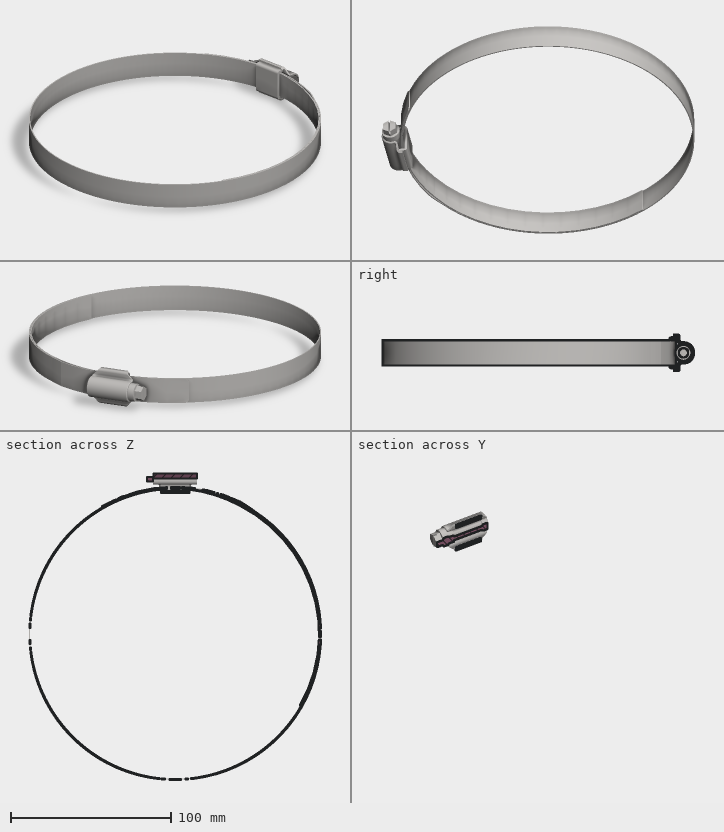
import cadquery as cq
import math


BAND_RADIUS = 91.2
BAND_THICKNESS = 0.8
LAYER_GAP = 0.05
LAYER_PITCH = BAND_THICKNESS + LAYER_GAP
BAND_WIDTH = 16.0
INNER_END_ANGLE = -30
INNER_STEP_START = 63
INNER_STEP_END = 85
OUTER_STEP_START = 360 + 57
OUTER_STEP_END = 360 + 64
OUTER_END_ANGLE = 360 + 120
TAIL_CORNER_RADIUS = 3.0

SCREW_AXIS_Y = 96.6
HEAD_ACROSS_FLATS = 8.2
HEAD_START_X = -22.5
SLOT_WIDTH = 1.2
SLOT_DEPTH = 2.1
COLLAR_START_X = -17.9
COLLAR_RADIUS = 5.6
COLLAR_FACE_RISE = 0.8
SHANK_RADIUS = 4.5
JOURNAL_RADIUS = 5.0
JOURNAL_LENGTH = 3.9
TIP_RADIUS = 3.0
TIP_END_X = 15.0

SHEET = 1.2
HOUSING_LENGTH = 27.6
HOUSING_START_X = -HOUSING_LENGTH / 2
HOUSING_END_X = HOUSING_LENGTH / 2
DOME_RADIUS = 6.6
DOME_END_CHAMFER = 0.4
WING_HALF_WIDTH = 11.5
WING_UNDERSIDE_Y = 93.1
LIP_BOTTOM_Y = 90.8
LIP_LENGTH = 17.9
WALL_BEND = 1.0
LIP_BEND = 0.5

SADDLE_LENGTH = 18.0
SADDLE_HALF_WIDTH = 9.7
SADDLE_INNER_HALF_WIDTH = 8.2
SADDLE_BOTTOM_Y = 87.9
SADDLE_THICKNESS = SADDLE_HALF_WIDTH - SADDLE_INNER_HALF_WIDTH
SADDLE_EDGE_RADIUS = 1.5


def polar(radius, degrees):
    """X and Y of a point at a radius and angle about the ring centre."""
    angle = math.radians(degrees)
    return radius * math.cos(angle), radius * math.sin(angle)


def spiral_through(outline, points):
    """Extend an outline with one arc between each two neighbouring (radius, angle) points."""
    for (radius, angle), (next_radius, next_angle) in zip(points, points[1:]):
        middle = polar((radius + next_radius) / 2, (angle + next_angle) / 2)
        outline = outline.threePointArc(middle, polar(next_radius, next_angle))
    return outline


def make_band():
    """Strip along three concentric arcs, joined by two spiral arcs that step outward."""
    arcs = [
        (BAND_RADIUS - LAYER_PITCH, INNER_END_ANGLE, INNER_STEP_START),
        (BAND_RADIUS, INNER_STEP_END, OUTER_STEP_START),
        (BAND_RADIUS + LAYER_PITCH, OUTER_STEP_END, OUTER_END_ANGLE),
    ]
    outer_points = [(radius, angle) for radius, *span in arcs for angle in span]
    inner_points = [(radius - BAND_THICKNESS, angle) for radius, angle in reversed(outer_points)]
    outline = cq.Workplane("XY").moveTo(*polar(*outer_points[0]))
    outline = spiral_through(outline, outer_points)
    outline = outline.lineTo(*polar(*inner_points[0]))
    outline = spiral_through(outline, inner_points)
    strip = outline.close().extrude(BAND_WIDTH / 2, both=True)

    tail_x, tail_y = polar(BAND_RADIUS + LAYER_PITCH - BAND_THICKNESS / 2, OUTER_END_ANGLE)
    around_tail_end = cq.selectors.BoxSelector(
        (tail_x - BAND_THICKNESS, tail_y - BAND_THICKNESS, -BAND_WIDTH),
        (tail_x + BAND_THICKNESS, tail_y + BAND_THICKNESS, BAND_WIDTH),
    )
    return strip.edges(around_tail_end).edges("%LINE and (not |Z)").fillet(TAIL_CORNER_RADIUS)


def make_screw():
    """Slotted hexagon head, collar, shank with a thicker journal at each end, and a tip."""
    def section(start_x):
        return cq.Workplane("YZ", origin=(start_x, SCREW_AXIS_Y, 0))

    head_length = COLLAR_START_X - HEAD_START_X
    across_corners = HEAD_ACROSS_FLATS / math.cos(math.radians(30))
    head = (
        section(HEAD_START_X)
        .transformed(rotate=(0, 0, 90))
        .polygon(6, across_corners)
        .extrude(head_length)
    )
    slot = section(HEAD_START_X).rect(SLOT_WIDTH, 2 * across_corners).extrude(SLOT_DEPTH)
    collar = (
        cq.Workplane("XY")
        .moveTo(COLLAR_START_X - COLLAR_FACE_RISE, 0)
        .lineTo(COLLAR_START_X, COLLAR_RADIUS)
        .lineTo(HOUSING_START_X, COLLAR_RADIUS)
        .lineTo(HOUSING_START_X, 0)
        .close()
        .revolve(360, (0, 0, 0), (1, 0, 0))
        .translate((0, SCREW_AXIS_Y, 0))
    )
    shank = section(HOUSING_START_X).circle(SHANK_RADIUS).extrude(HOUSING_LENGTH)
    tip = section(HOUSING_END_X).circle(TIP_RADIUS).extrude(TIP_END_X - HOUSING_END_X)
    screw = head.cut(slot).union(collar).union(shank).union(tip)
    for start_x in (HOUSING_START_X, HOUSING_END_X - JOURNAL_LENGTH):
        screw = screw.union(section(start_x).circle(JOURNAL_RADIUS).extrude(JOURNAL_LENGTH))
    return screw


def make_housing():
    """Bent sheet profile, with the wing corners cut off at 45 degrees."""
    wall_inside = DOME_RADIUS - SHEET
    wing_top_y = WING_UNDERSIDE_Y + SHEET
    bend_start_y = wing_top_y + WALL_BEND
    bend_end_z = DOME_RADIUS + WALL_BEND
    lip_outer_bend = LIP_BEND + SHEET
    lip_bend_z = WING_HALF_WIDTH - lip_outer_bend
    lip_bend_y = wing_top_y - lip_outer_bend
    lip_inside = WING_HALF_WIDTH - SHEET

    half = (
        cq.Workplane("YZ", origin=(HOUSING_START_X, 0, 0))
        .moveTo(SCREW_AXIS_Y + DOME_RADIUS, 0)
        .radiusArc((SCREW_AXIS_Y, DOME_RADIUS), -DOME_RADIUS)
        .lineTo(bend_start_y, DOME_RADIUS)
        .radiusArc((wing_top_y, bend_end_z), WALL_BEND)
        .lineTo(wing_top_y, lip_bend_z)
        .radiusArc((lip_bend_y, WING_HALF_WIDTH), -lip_outer_bend)
        .lineTo(LIP_BOTTOM_Y, WING_HALF_WIDTH)
        .lineTo(LIP_BOTTOM_Y, lip_inside)
        .lineTo(lip_bend_y, lip_inside)
        .radiusArc((WING_UNDERSIDE_Y, lip_bend_z), LIP_BEND)
        .lineTo(WING_UNDERSIDE_Y, bend_end_z)
        .radiusArc((bend_start_y, wall_inside), -(WALL_BEND + SHEET))
        .lineTo(SCREW_AXIS_Y, wall_inside)
        .radiusArc((SCREW_AXIS_Y + wall_inside, 0), wall_inside)
        .close()
        .extrude(HOUSING_LENGTH)
    )
    sheet = half.union(half.mirror("XY"))
    dome_ends = cq.selectors.RadiusNthSelector(-1)
    sheet = sheet.edges(dome_ends).chamfer(DOME_END_CHAMFER)

    corner_cut = (HOUSING_LENGTH - LIP_LENGTH) / 2
    plan = (
        cq.Workplane("XZ")
        .rect(HOUSING_LENGTH, 2 * WING_HALF_WIDTH)
        .extrude(-(SCREW_AXIS_Y + DOME_RADIUS))
        .edges("|Y")
        .chamfer(corner_cut)
    )
    return sheet.intersect(plan)


def make_saddle():
    """U-shaped bridge with rounded bottom edges."""
    height = WING_UNDERSIDE_Y - SADDLE_BOTTOM_Y
    block = (
        cq.Workplane("XY", origin=(0, SADDLE_BOTTOM_Y + height / 2, 0))
        .box(SADDLE_LENGTH, height, 2 * SADDLE_HALF_WIDTH)
        .edges("|X and <Y")
        .fillet(SADDLE_EDGE_RADIUS)
    )
    channel = (
        cq.Workplane("XY", origin=(0, SADDLE_BOTTOM_Y + SADDLE_THICKNESS + height / 2, 0))
        .box(SADDLE_LENGTH, height, 2 * SADDLE_INNER_HALF_WIDTH)
    )
    return block.cut(channel)


band = make_band()
screw = make_screw()
housing = make_housing()
saddle = make_saddle()

result = cq.Compound.makeCompound([band.val(), screw.val(), housing.val(), saddle.val()])